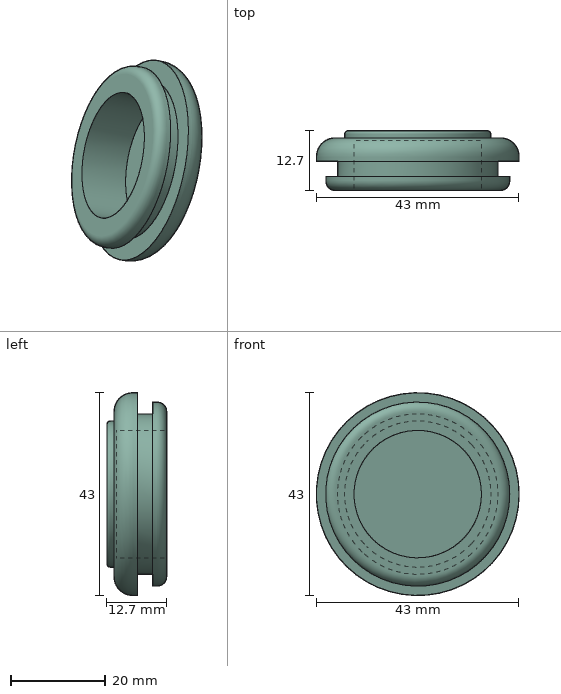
import cadquery as cq

lip_diameter = 39.0
lip_thickness = 3.0
lip_fillet = 2.0

groove_diameter = 34.0
groove_width = 3.2

flange_diameter = 43.0
flange_thickness = 5.0
flange_fillet = 4.0

cap_diameter = 31.0
cap_thickness = 1.5
cap_fillet = 0.75

bore_diameter = 27.0
bore_depth = 10.6

groove_start = lip_thickness
flange_start = groove_start + groove_width
cap_start = flange_start + flange_thickness


def disc(diameter, start, thickness):
    """Solid disc around the Y axis, from Y = start toward +Y."""
    plane = cq.Workplane("XZ", origin=(0, start, 0))
    return plane.circle(diameter / 2).extrude(-thickness)


lip = disc(lip_diameter, 0, lip_thickness).faces("<Y").edges().fillet(lip_fillet)
groove = disc(groove_diameter, groove_start, groove_width)
flange = disc(flange_diameter, flange_start, flange_thickness).faces(">Y").edges().fillet(flange_fillet)
cap = disc(cap_diameter, cap_start, cap_thickness).faces(">Y").edges().fillet(cap_fillet)

bore = disc(bore_diameter, 0, bore_depth)

result = lip.union(groove).union(flange).union(cap).cut(bore)